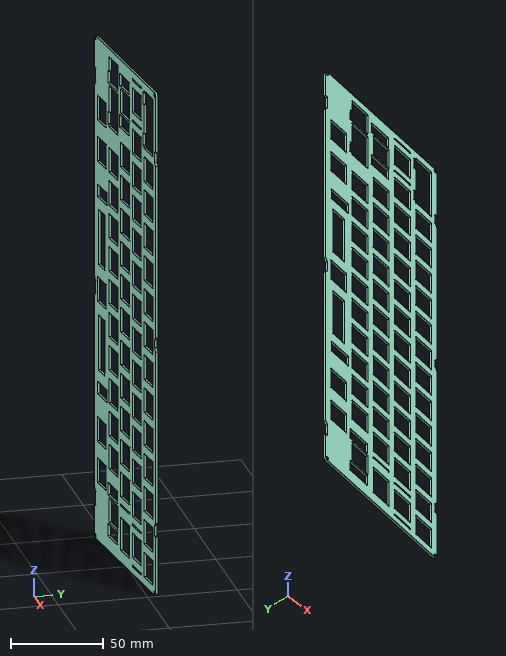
import cadquery as cq

plate_length = 290.5
plate_thickness = 1.5
tilt_angle = 6.0
corner_radius = 1.9

border = 2.38
key_units = 15
row_count = 5
key_pitch = (plate_length - 2 * border) / key_units
plate_width = row_count * key_pitch + 2 * border
switch_size = 14.0

stabilizer_width = 15.0
stabilizer_height = 7.0
stabilizer_shift = 1.07
stabilizer_reach = 12.0
spacebar_reach = 57.0

spacebar_slot_width = 10.2
spacebar_slot_height = 31.7
spacebar_slot_reach = 30.5

slit_height = 1.0
slit_gap = 0.625

corner_hole_diameter = 1.85
corner_hole_inset = 1.6

notch_depth = 1.9
left_middle_half = 5.2
left_end_inner = 116.5
left_end_outer = 126.5
right_middle_half = 4.0
right_end_inner = 103.0
right_end_outer = 111.0

cutter_depth = 3 * plate_thickness


def key_run(first, count):
    """Positions of neighbouring single keys, in pitches from the plate middle."""
    return [first + i for i in range(count)]


left_shift = -6.375
right_shift = 6.125
enter = 6.375
backspace = 6.5
tab_row_end = 6.75
first_home_key = -5.25
switch_rows = [
    [-5.5, -4.25, 0, 4.25, 5.5],
    [left_shift] + key_run(-4.75, 10) + [5.625, right_shift, 7],
    [-6.875, -6.625] + key_run(first_home_key, 11) + [enter],
    [-tab_row_end] + key_run(-5.5, 12) + [tab_row_end],
    key_run(-7, key_units),
]
space_row, shift_row, home_row, tab_row, number_row = range(row_count)

stabilized_keys = [
    (shift_row, left_shift),
    (shift_row, right_shift),
    (home_row, enter),
    (number_row, backspace),
]

slits = [
    (tab_row, -tab_row_end - slit_gap),
    (tab_row, -tab_row_end + slit_gap),
    (tab_row, tab_row_end - slit_gap),
    (tab_row, tab_row_end + slit_gap),
    (home_row, first_home_key - slit_gap),
]


def row_x(row):
    """Distance of a key row from the plate middle across X."""
    return (row - (row_count - 1) / 2) * key_pitch


def opening(x, z, width, height):
    """A rectangular cutter through the plate."""
    return cq.Workplane("XY").box(width, cutter_depth, height).translate((x, 0, z))


def switch_openings():
    cutters = []
    for row, positions in enumerate(switch_rows):
        for position in positions:
            cutters.append(opening(row_x(row), position * key_pitch, switch_size, switch_size))
    backspace_z = backspace * key_pitch
    cutters.append(opening(row_x(number_row), backspace_z, switch_size, key_pitch + switch_size))
    return cutters


def stabilizer_pair(x, z, reach):
    return [
        opening(x, z + side * reach, stabilizer_width, stabilizer_height)
        for side in (-1, 1)
    ]


def stabilizer_openings():
    cutters = stabilizer_pair(row_x(space_row) + stabilizer_shift, 0, spacebar_reach)
    for row, position in stabilized_keys:
        x = row_x(row) - stabilizer_shift
        cutters += stabilizer_pair(x, position * key_pitch, stabilizer_reach)
    return cutters


def spacebar_slots():
    x = row_x(space_row)
    return [
        opening(x, side * spacebar_slot_reach, spacebar_slot_width, spacebar_slot_height)
        for side in (-1, 1)
    ]


def slit_openings():
    return [
        opening(row_x(row), position * key_pitch, switch_size, slit_height)
        for row, position in slits
    ]


def corner_holes():
    x = plate_width / 2 - corner_hole_inset
    z = plate_length / 2 - corner_hole_inset
    corners = [(-x, -z), (-x, z), (x, -z), (x, z)]
    holes = cq.Workplane("XZ").pushPoints(corners).circle(corner_hole_diameter / 2)
    return holes.extrude(cutter_depth / 2, both=True).vals()


def edge_notch(side, z_low, z_high, low_ramp, high_ramp):
    """A notch in a long edge; each end is a 45 degree ramp of the given size, or square for 0."""
    edge = side * plate_width / 2
    floor = edge - side * notch_depth
    outline = [
        (edge, z_low),
        (floor, z_low + low_ramp),
        (floor, z_high - high_ramp),
        (edge, z_high),
    ]
    profile = cq.Workplane("XZ").polyline(outline).close()
    return profile.extrude(cutter_depth / 2, both=True)


def edge_notches(side, middle_half, end_inner, end_outer):
    """The middle notch ramps at both ends; the outer two ramp only toward the plate middle."""
    return [
        edge_notch(side, -middle_half, middle_half, notch_depth, notch_depth),
        edge_notch(side, end_inner, end_outer, notch_depth, 0),
        edge_notch(side, -end_outer, -end_inner, 0, notch_depth),
    ]


cutters = switch_openings() + stabilizer_openings() + spacebar_slots() + slit_openings()
cutters += edge_notches(-1, left_middle_half, left_end_inner, left_end_outer)
cutters += edge_notches(1, right_middle_half, right_end_inner, right_end_outer)
cutter_solids = [cutter.val() for cutter in cutters] + corner_holes()

blank = cq.Workplane("XY").box(plate_width, plate_thickness, plate_length)
blank = blank.edges("|Y").fillet(corner_radius)
plate = cq.Workplane(blank.val().cut(*cutter_solids)).solids()
result = plate.rotate((0, 0, 0), (0, 0, 1), tilt_angle)